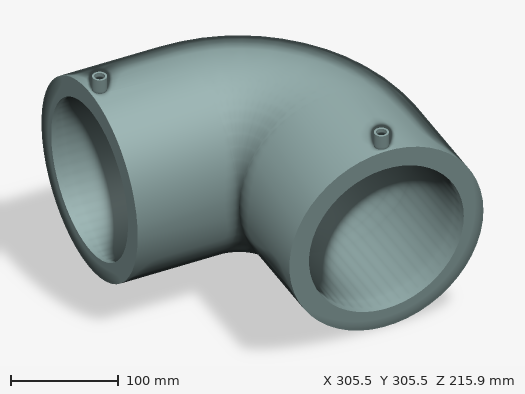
import cadquery as cq

overall_length = 305.5
outer_diameter = 200.7
bore_diameter = 160.0
leg_length = 104.5
terminal_top = 115.5
terminal_diameter = 14.0
terminal_bore = 10.0
terminal_inset = 10.5

bend_radius = overall_length - leg_length - outer_diameter / 2
terminal_offset = leg_length - terminal_inset

terminal_root = (outer_diameter + bore_diameter) / 4


def ring(workplane, outer, inner):
    """Annular section centred on the workplane origin."""
    return workplane.circle(outer / 2).circle(inner / 2)


def front_section():
    """Pipe section where the front leg meets the bend."""
    workplane = cq.Workplane("XZ").center(-bend_radius, 0)
    return ring(workplane, outer_diameter, bore_diameter)


def side_section():
    """Pipe section where the side leg meets the bend."""
    workplane = cq.Workplane("YZ").center(bend_radius, 0)
    return ring(workplane, outer_diameter, bore_diameter)


def terminal(x, y):
    """Hollow upright terminal, open down to the crown of the pipe."""
    workplane = cq.Workplane("XY", origin=(x, y, terminal_root))
    return ring(workplane, terminal_diameter, terminal_bore).extrude(terminal_top - terminal_root)


bend_plane = cq.Plane(origin=(-bend_radius, 0, 0), xDir=(-1, 0, 0), normal=(0, 1, 0))
bend_section = ring(cq.Workplane(bend_plane), outer_diameter, bore_diameter)
bend = bend_section.revolve(90, (-bend_radius, 0, 0), (-bend_radius, -1, 0))
front_leg = front_section().extrude(leg_length)
side_leg = side_section().extrude(leg_length)
pipe = bend.union(side_leg).union(front_leg)

front_terminal = terminal(-bend_radius, -terminal_offset)
side_terminal = terminal(terminal_offset, bend_radius)

result = pipe.union(front_terminal).union(side_terminal)